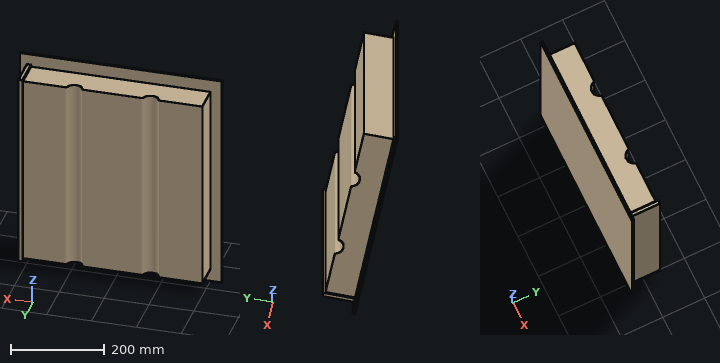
import cadquery as cq

panel_width = 450.0
panel_height = 500.0
panel_thickness = 5.0
total_depth = 75.0

side_margin = 25.0
box_width = 400.0
end_plate_thickness = 9.0
end_plate_lip = 5.0

groove_radius = 17.5
groove_depth = 15.0
groove_spacing = 170.0
groove_edge_radius = 5.0

box_left = -panel_width / 2 + side_margin
box_right = box_left + box_width
box_center = (box_left + box_right) / 2
box_back = total_depth - end_plate_lip
end_plate_height = panel_height - 2 * side_margin
box_height = end_plate_height - 2 * end_plate_lip


def block(x_start, x_end, y_start, y_end, height):
    """Rectangular block between the given X and Y limits, centred on Z."""
    return (
        cq.Workplane("XY")
        .box(x_end - x_start, y_end - y_start, height, centered=(False, False, True))
        .translate((x_start, y_start, 0))
    )


def make_grooved_box():
    box = block(box_left, box_right, panel_thickness, box_back, box_height)
    for side in (-1, 1):
        groove = (
            cq.Workplane("XY")
            .center(box_center + side * groove_spacing / 2, box_back - groove_depth + groove_radius)
            .circle(groove_radius)
            .extrude(box_height / 2, both=True)
        )
        box = box.cut(groove)

    inner_edges = cq.selectors.BoxSelector(
        (box_left + side_margin, box_back - groove_edge_radius / 2, -box_height),
        (box_right - side_margin, box_back + groove_edge_radius / 2, box_height),
    )
    return box.edges("|Z").edges(inner_edges).fillet(groove_edge_radius)


panel = block(-panel_width / 2, panel_width / 2, 0, panel_thickness, panel_height)
end_plate = block(
    box_right, box_right + end_plate_thickness, panel_thickness, total_depth, end_plate_height
)

result = panel.union(make_grooved_box()).union(end_plate)